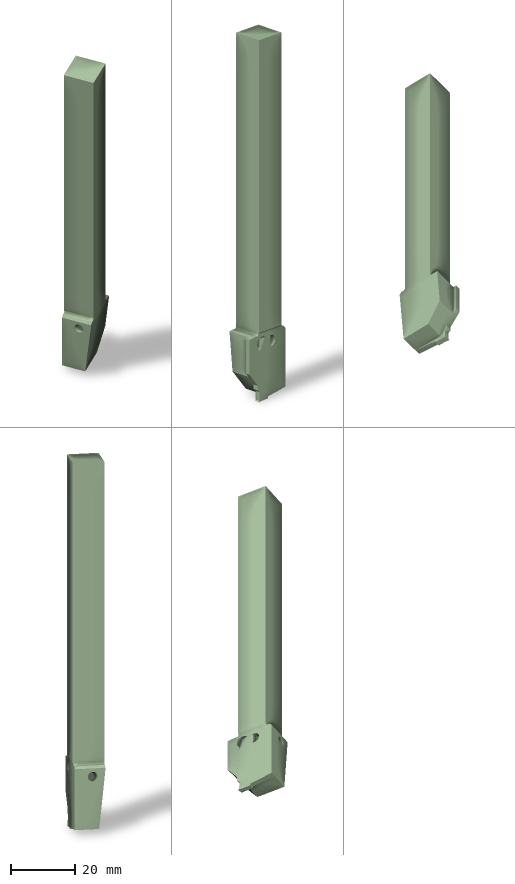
import cadquery as cq
import math

SHANK_WIDTH = 10.0
TOTAL_HEIGHT = 120.0
SIDE_X = SHANK_WIDTH / 2

SHOULDER_RADIUS = 0.7
FRONT_LEDGE_Z = 22.3
REAR_LEDGE_Z = 22.0
FRONT_CHAMFER = 0.7
REAR_BREAK_Y = 11.9
REAR_SLOPE_ANGLE = 8.0

HEAD_FRONT_Y = -2.0
BLADE_REAR_Y = 13.9
BODY_REAR_Y = 12.8
HEAD_BOTTOM_Z = 1.9
BLADE_BOTTOM_ANGLE = 8.0
UNDERCUT_TOP_Z = 10.2
UNDERCUT_ANGLE = 53.0
SIDE_RELIEF = 0.2
SIDE_RELIEF_RADIUS = 1.0
BLADE_THICKNESS = 1.7
HEAD_X = -SIDE_X + SIDE_RELIEF
BLADE_INNER_X = HEAD_X + BLADE_THICKNESS

TAPER_TOP_Z = 21.1
TAPER_ANGLE = 5.8

INSERT_LEAN_ANGLE = 3.1
INSERT_WIDTH = 4.9
INSERT_FRONT_FOOT_Y = 5.8
INSERT_BACK_Z = 20.4
REAR_STEP_Y = 9.0
REAR_STEP_Z = 17.8
REAR_STEP_END_Z = 17.2
CHIP_FACE_Y = 9.6
CHIP_FACE_TOP_Z = 3.2
CHIP_STEP_Z = 4.1
CHIP_LIP_Z = 0.4
TIP_Y = 10.0
TIP_RELIEF_ANGLE = 2.0
LEAD_ANGLE = 3.0
FLANK_FOOT_Y = 8.3
FLANK_LEAN_ANGLE = 21.0
FLANK_ANGLE = 9.0
BEVEL_ANGLE = 20.0
BEVEL_TURN = 30.0
BEVEL_SIZE = 1.5

FRONT_RELIEF_Y = 4.3
FRONT_RELIEF_Z = 19.0
FRONT_RELIEF_RADIUS = 1.8
REAR_RELIEF_Y = 8.5
REAR_RELIEF_Z = 19.3
REAR_RELIEF_RADIUS = 2.0

HOLE_X = 1.0
HOLE_Z = 19.0
HOLE_DIAMETER = 3.0
HOLE_DEPTH = 6.1
HOLE_ANGLE = 15.0

MARGIN = 2.4


def tan(degrees):
    return math.tan(math.radians(degrees))


def undercut_z(y):
    """Height of the sloping rear underside of the head."""
    return UNDERCUT_TOP_Z - (BLADE_REAR_Y - y) * tan(UNDERCUT_ANGLE)


def insert_front_y(z):
    return INSERT_FRONT_FOOT_Y - z * tan(INSERT_LEAN_ANGLE)


def insert_rear_y(z):
    return insert_front_y(z) + INSERT_WIDTH


def along_x(outline, x_start, x_end):
    """Extrude a closed outline drawn in Y and Z between two X positions."""
    return outline.extrude(x_end - x_start).translate((x_start, 0, 0))


def across_head(outline):
    """Extrude a closed outline drawn in X and Z past both the front and the rear of the head."""
    length = BLADE_REAR_Y - HEAD_FRONT_Y + 2 * MARGIN
    return outline.extrude(-length).translate((0, HEAD_FRONT_Y - MARGIN, 0))


def round_bar(y, z, radius):
    """Cylinder along X through the thickness of the blade."""
    circle = cq.Workplane("YZ").center(y, z).circle(radius)
    return along_x(circle, HEAD_X, BLADE_INNER_X)


def holder_outline(rear_y, underside):
    """Shank and head outline; `underside` lists the points from the front foot to the undercut."""
    bend = SHOULDER_RADIUS * (1 - math.sqrt(0.5))
    front_arc_y = -SHOULDER_RADIUS
    rear_arc_y = SHANK_WIDTH + SHOULDER_RADIUS
    rear_arc_top = REAR_LEDGE_Z + SHOULDER_RADIUS
    rear_corner_z = REAR_LEDGE_Z - (rear_y - REAR_BREAK_Y) * tan(REAR_SLOPE_ANGLE)
    outline = (
        cq.Workplane("YZ")
        .moveTo(0, TOTAL_HEIGHT)
        .lineTo(0, FRONT_LEDGE_Z + SHOULDER_RADIUS)
        .threePointArc((-bend, FRONT_LEDGE_Z + bend), (front_arc_y, FRONT_LEDGE_Z))
        .lineTo(HEAD_FRONT_Y + FRONT_CHAMFER, FRONT_LEDGE_Z)
        .lineTo(HEAD_FRONT_Y, FRONT_LEDGE_Z - FRONT_CHAMFER)
    )
    for y, z in underside:
        outline = outline.lineTo(y, z)
    return (
        outline.lineTo(rear_y, undercut_z(rear_y))
        .lineTo(rear_y, rear_corner_z)
        .lineTo(REAR_BREAK_Y, REAR_LEDGE_Z)
        .lineTo(rear_arc_y, REAR_LEDGE_Z)
        .threePointArc((SHANK_WIDTH + bend, REAR_LEDGE_Z + bend), (SHANK_WIDTH, rear_arc_top))
        .lineTo(SHANK_WIDTH, TOTAL_HEIGHT)
        .close()
    )


def blade_side():
    """Thin -X layer of the holder; the insert seat later removes the underside behind `seat_y`."""
    seat_y = INSERT_FRONT_FOOT_Y
    seat_z = HEAD_BOTTOM_Z - (seat_y - HEAD_FRONT_Y) * tan(BLADE_BOTTOM_ANGLE)
    underside = [(HEAD_FRONT_Y, HEAD_BOTTOM_Z), (seat_y, seat_z), (CHIP_FACE_Y, undercut_z(CHIP_FACE_Y))]
    return along_x(holder_outline(BLADE_REAR_Y, underside), -SIDE_X, BLADE_INNER_X)


def body_side():
    """Thick +X layer of the holder, backing the blade."""
    foot_y = BLADE_REAR_Y - (UNDERCUT_TOP_Z - HEAD_BOTTOM_Z) / tan(UNDERCUT_ANGLE)
    underside = [(HEAD_FRONT_Y, HEAD_BOTTOM_Z), (foot_y, HEAD_BOTTOM_Z)]
    return along_x(holder_outline(BODY_REAR_Y, underside), BLADE_INNER_X, SIDE_X)


def side_relief():
    """Shallow cut over the -X face of the head, running out into the shank on a radius."""
    run_out = math.sqrt(SIDE_RELIEF_RADIUS**2 - (SIDE_RELIEF_RADIUS - SIDE_RELIEF) ** 2)
    top_z = FRONT_LEDGE_Z + SHOULDER_RADIUS
    tangent_z = top_z - run_out
    half_angle = math.asin(run_out / SIDE_RELIEF_RADIUS) / 2
    middle = (
        HEAD_X - SIDE_RELIEF_RADIUS * (1 - math.cos(half_angle)),
        tangent_z + SIDE_RELIEF_RADIUS * math.sin(half_angle),
    )
    outline = (
        cq.Workplane("XZ")
        .moveTo(HEAD_X, -MARGIN)
        .lineTo(HEAD_X, tangent_z)
        .threePointArc(middle, (-SIDE_X, top_z))
        .lineTo(-SIDE_X - MARGIN, top_z)
        .lineTo(-SIDE_X - MARGIN, -MARGIN)
        .close()
    )
    return across_head(outline)


def side_taper():
    """Wedge that narrows the +X side of the head towards its lower end."""
    outline = (
        cq.Workplane("XZ")
        .moveTo(SIDE_X, TAPER_TOP_Z)
        .lineTo(SIDE_X - TAPER_TOP_Z * tan(TAPER_ANGLE), 0)
        .lineTo(SIDE_X, 0)
        .close()
    )
    return across_head(outline)


def front_hole():
    """Flat-bottomed cylinder entering the front of the head on a downward slope."""
    slope = math.radians(HOLE_ANGLE)
    inward = cq.Vector(0, math.cos(slope), -math.sin(slope))
    mouth = cq.Vector(HOLE_X, HEAD_FRONT_Y, HOLE_Z)
    start = mouth - inward * MARGIN
    return cq.Workplane(cq.Solid.makeCylinder(HOLE_DIAMETER / 2, HOLE_DEPTH + MARGIN, start, inward))


def insert_back_z(y):
    """Height of the insert's upper end, square to its leaning sides."""
    return INSERT_BACK_Z + (y - insert_front_y(INSERT_BACK_Z)) * tan(INSERT_LEAN_ANGLE)


def insert_seat():
    """Leaning slot through the blade, open at the bottom, with its corner reliefs."""
    front_back_y = insert_front_y(INSERT_BACK_Z)
    rear_back_y = insert_rear_y(INSERT_BACK_Z)
    slot = (
        cq.Workplane("YZ")
        .moveTo(insert_front_y(0), 0)
        .lineTo(front_back_y, INSERT_BACK_Z)
        .lineTo(rear_back_y, insert_back_z(rear_back_y))
        .lineTo(insert_rear_y(0), 0)
        .close()
    )
    return (
        along_x(slot, HEAD_X, BLADE_INNER_X)
        .union(round_bar(FRONT_RELIEF_Y, FRONT_RELIEF_Z, FRONT_RELIEF_RADIUS))
        .union(round_bar(REAR_RELIEF_Y, REAR_RELIEF_Z, REAR_RELIEF_RADIUS))
    )


def make_holder():
    holder = blade_side().union(body_side())
    return holder.cut(side_relief()).cut(side_taper()).cut(insert_seat()).cut(front_hole())


def insert_outline():
    """Side outline of the insert, with its rear step, chip groove and cutting edge."""
    return (
        cq.Workplane("YZ")
        .moveTo(insert_front_y(0), 0)
        .lineTo(insert_front_y(INSERT_BACK_Z), INSERT_BACK_Z)
        .lineTo(REAR_STEP_Y, insert_back_z(REAR_STEP_Y))
        .lineTo(REAR_STEP_Y, REAR_STEP_Z)
        .lineTo(insert_rear_y(REAR_STEP_END_Z), REAR_STEP_END_Z)
        .lineTo(insert_rear_y(CHIP_STEP_Z), CHIP_STEP_Z)
        .lineTo(CHIP_FACE_Y, CHIP_FACE_TOP_Z)
        .lineTo(CHIP_FACE_Y, CHIP_LIP_Z)
        .lineTo(TIP_Y, 0)
        .close()
    )


def tip_flank():
    """Leaning wedge that widens the cutting tip to the -X side of the shank."""
    wedge_length = INSERT_WIDTH
    wedge_rise = wedge_length * tan(FLANK_ANGLE)
    wedge = (
        cq.Workplane("XY")
        .moveTo(HEAD_X, 0)
        .lineTo(HEAD_X, wedge_length)
        .lineTo(HEAD_X - wedge_rise, wedge_length)
        .close()
        .extrude(2 * wedge_length, both=True)
        .rotate((0, 0, 0), (1, 0, 0), -FLANK_LEAN_ANGLE)
        .translate((0, FLANK_FOOT_Y, 0))
    )
    tip = along_x(insert_outline(), -SIDE_X, HEAD_X)
    width = 2 * SHANK_WIDTH + 2 * MARGIN
    below_step = cq.Workplane("XY").box(width, width, 2 * CHIP_FACE_TOP_Z)
    return tip.intersect(wedge).intersect(below_step)


def tip_clearance():
    """Block under the tip, tilted to give the cutting edge its lead and relief angles."""
    size = 4 * INSERT_WIDTH
    return (
        cq.Workplane("XY")
        .box(size, size, size, centered=(True, True, False))
        .translate((0, 0, -size))
        .rotate((0, 0, 0), (1, 0, 0), -TIP_RELIEF_ANGLE)
        .rotate((0, 0, 0), (0, 1, 0), -LEAD_ANGLE)
        .translate((-SIDE_X, TIP_Y, 0))
    )


def back_bevel():
    """Wedge that bevels the -X face at the insert's upper rear corner."""
    depth = BEVEL_SIZE * tan(BEVEL_ANGLE)
    return (
        cq.Workplane("XY")
        .moveTo(0, -BEVEL_SIZE)
        .lineTo(2 * depth, BEVEL_SIZE)
        .lineTo(0, BEVEL_SIZE)
        .close()
        .extrude(INSERT_WIDTH, both=True)
        .rotate((0, 0, 0), (1, 0, 0), BEVEL_TURN)
        .translate((HEAD_X, REAR_STEP_Y, insert_back_z(REAR_STEP_Y)))
    )


def make_insert():
    blank = along_x(insert_outline(), HEAD_X, BLADE_INNER_X)
    return blank.union(tip_flank()).cut(tip_clearance()).cut(back_bevel())


holder = make_holder()
insert = make_insert()

result = cq.Compound.makeCompound([holder.solids().val(), insert.solids().val()])